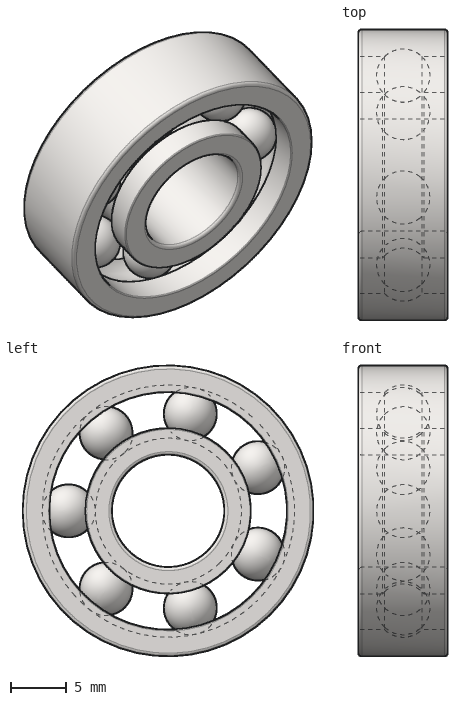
import cadquery as cq

outer_diameter = 26.0
bore_diameter = 10.0
width = 8.0
inner_land_diameter = 14.8
outer_land_diameter = 21.2
mounting_round = 0.3
land_round = 0.1

ball_count = 7
ball_diameter = 4.75
pitch_radius = 8.9


def cylinder(diameter):
    """Solid cylinder along X, as long as the bearing is wide."""
    return cq.Workplane("YZ", origin=(-width / 2, 0, 0)).circle(diameter / 2).extrude(width)


def rounded_ring(outside_diameter, outside_round, inside_diameter, inside_round):
    """Ring along X with its outside and inside end edges rounded."""
    ring = cylinder(outside_diameter).faces("<X or >X").edges().fillet(outside_round)
    ring = ring.cut(cylinder(inside_diameter))
    for end_face in ("<X", ">X"):
        end_edges = ring.faces(end_face).edges().vals()
        inside_edge = min(end_edges, key=lambda edge: edge.Length())
        ring = ring.newObject([inside_edge]).fillet(inside_round)
    return ring


def make_raceway():
    """Torus swept by the ball section, cut from both rings to form their grooves."""
    return (
        cq.Workplane("XY")
        .center(0, pitch_radius)
        .circle(ball_diameter / 2)
        .revolve(360, (0, -pitch_radius, 0), (1, -pitch_radius, 0))
    )


def make_outer_ring(raceway):
    ring = rounded_ring(outer_diameter, mounting_round, outer_land_diameter, land_round)
    return ring.cut(raceway)


def make_inner_ring(raceway):
    ring = rounded_ring(inner_land_diameter, land_round, bore_diameter, mounting_round)
    return ring.cut(raceway)


def make_ball(index):
    """One ball on the pitch circle, its poles along X; the first sits on the +Y axis."""
    ball = cq.Workplane("YZ").sphere(ball_diameter / 2).translate((0, pitch_radius, 0))
    return ball.rotate((0, 0, 0), (1, 0, 0), 360 * index / ball_count)


raceway = make_raceway()
outer_ring = make_outer_ring(raceway)
inner_ring = make_inner_ring(raceway)
balls = [make_ball(index) for index in range(ball_count)]

result = cq.Compound.makeCompound(
    [outer_ring.val(), inner_ring.val(), *[ball.val() for ball in balls]]
)